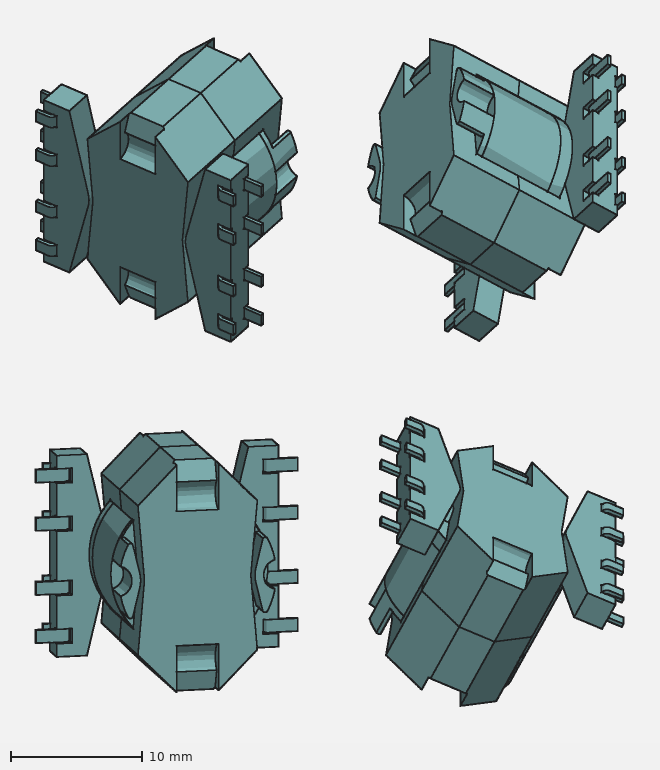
import cadquery as cq
import math


CORE_HALF_HEIGHT = 9.0
CORE_HALF_DEPTH = 6.3
CORE_TOP_HALF_WIDTH = 1.5
CORE_SHOULDER_HALF_WIDTH = 4.67
CORE_WAIST_HALF_WIDTH = 4.16
CORE_SHOULDER_Z = CORE_HALF_HEIGHT - (CORE_SHOULDER_HALF_WIDTH - CORE_TOP_HALF_WIDTH)
CORE_PLATE = 2.28
CAVITY_HALF_DEPTH = CORE_HALF_DEPTH - CORE_PLATE
POST_RADIUS = 2.66

SEAT_WIDTH = 3.28
SEAT_END_DEPTH = 1.25
SEAT_RIDGE_DROP = 1.6
SEAT_RIDGE_DEPTH = 0.64
SEAT_DROP = 3.75
SEAT_LIP = 0.08
SEAT_TROUGH_RADIUS = 1.19

WINDING_RADIUS = 6.15
CAVITY_RADIUS = WINDING_RADIUS + 0.05
TUBE_RADIUS = POST_RADIUS + 0.4
WINDING_FRONT = -2.85
WINDING_BACK = 3.46
FLANGE_FACE = 3.98
BOBBIN_HALF_DEPTH = 6.35

LUG_HALF_HEIGHT = 2.85
LUG_END_RADIUS = 0.25
GROOVE_RADIUS = 1.19
GROOVE_HALF_OPENING = 1.15

BLOCK_OUTER_X = 8.7
BLOCK_END_X = 6.31
BLOCK_TIP_X = 4.4
BLOCK_HALF_HEIGHT = 7.85
BLOCK_TIP_RADIUS = 2.45

RIB_RADIUS = 1.68
RIB_HALF_HEIGHT = 1.3
RIB_OUTER_X = 5.12
RIB_CORE_GAP = 0.02

PIN_HEIGHTS = (-6.25, -2.5, 2.5, 6.25)
PIN_WIDTH = 1.0
PIN_THICKNESS = 0.3
PIN_REAR_TIP_X = 10.25
PIN_FRONT_TIP_X = 9.18
PIN_INNER_X = 7.52
PIN_FRONT = -6.7
PIN_REAR = -4.22
PIN_BEND_RADIUS = 0.53
PIN_SLOT_WIDTH = 1.13
PIN_SLOT_INNER_X = PIN_INNER_X - 0.05
PIN_SLOT_FRONT_DEPTH = 0.2
PIN_SLOT_REAR_DEPTH = 0.6


def y_prism(sketch, y_start, y_end):
    """Extrude an XZ outline from y_start to y_end."""
    return sketch(cq.Workplane("XZ", origin=(0, y_end, 0))).extrude(y_end - y_start)


def y_cylinder(radius, y_start, y_end):
    return y_prism(lambda plane: plane.circle(radius), y_start, y_end)


def box(x_range, y_range, z_range):
    """Box spanning the three given (low, high) ranges, in either order."""
    sizes = [abs(high - low) for low, high in (x_range, y_range, z_range)]
    corner = [min(span) for span in (x_range, y_range, z_range)]
    return cq.Workplane("XY").box(*sizes, centered=False).translate(tuple(corner))


def centered_span(middle, width):
    return (middle - width / 2, middle + width / 2)



def core_outline(plane):
    right = [
        (CORE_TOP_HALF_WIDTH, CORE_HALF_HEIGHT),
        (CORE_SHOULDER_HALF_WIDTH, CORE_SHOULDER_Z),
        (CORE_WAIST_HALF_WIDTH, 0),
        (CORE_SHOULDER_HALF_WIDTH, -CORE_SHOULDER_Z),
        (CORE_TOP_HALF_WIDTH, -CORE_HALF_HEIGHT),
    ]
    left = [(-x, z) for x, z in reversed(right)]
    return plane.polyline(right + left).close()


def clip_seat():
    """Cutter for the clip seat at the top of the front core face."""
    face = -CORE_HALF_DEPTH
    top = CORE_HALF_HEIGHT
    return (
        cq.Workplane("YZ", origin=(-SEAT_WIDTH / 2, 0, 0))
        .moveTo(face, top)
        .lineTo(face + SEAT_END_DEPTH, top)
        .lineTo(face + SEAT_RIDGE_DEPTH, top - SEAT_RIDGE_DROP)
        .radiusArc((face + SEAT_LIP, top - SEAT_DROP), SEAT_TROUGH_RADIUS)
        .lineTo(face, top - SEAT_DROP)
        .close()
        .extrude(SEAT_WIDTH)
    )


def front_core():
    cavity = y_cylinder(CAVITY_RADIUS, -CAVITY_HALF_DEPTH, 0)
    post = y_cylinder(POST_RADIUS, -CAVITY_HALF_DEPTH, 0)
    seat = clip_seat()
    return (
        y_prism(core_outline, -CORE_HALF_DEPTH, 0)
        .cut(cavity.cut(post))
        .cut(seat)
        .cut(seat.mirror("XY"))
    )



def make_winding():
    spool = y_cylinder(TUBE_RADIUS, WINDING_FRONT, WINDING_BACK)
    return y_cylinder(WINDING_RADIUS, WINDING_FRONT, WINDING_BACK).cut(spool)



def block_prism(y_start, y_end):
    """Right-hand block: straight outer side, blunt pointed inner side."""
    outline = [
        (BLOCK_OUTER_X, BLOCK_HALF_HEIGHT),
        (BLOCK_END_X, BLOCK_HALF_HEIGHT),
        (BLOCK_TIP_X, 0),
        (BLOCK_END_X, -BLOCK_HALF_HEIGHT),
        (BLOCK_OUTER_X, -BLOCK_HALF_HEIGHT),
    ]
    prism = y_prism(lambda plane: plane.polyline(outline).close(), y_start, y_end)
    return prism.edges("|Y").edges("<X").fillet(BLOCK_TIP_RADIUS)


def pin_slots(z):
    """Slots around the rear and front legs of one right-hand terminal."""
    x_range = (PIN_SLOT_INNER_X, BLOCK_OUTER_X)
    z_range = centered_span(z, PIN_SLOT_WIDTH)
    front = box(x_range, (-BOBBIN_HALF_DEPTH, -BOBBIN_HALF_DEPTH + PIN_SLOT_FRONT_DEPTH), z_range)
    rear = box(x_range, (-FLANGE_FACE, -FLANGE_FACE - PIN_SLOT_REAR_DEPTH), z_range)
    return front.union(rear)


def terminal(z):
    """One right-hand C-shaped terminal."""
    z_range = centered_span(z, PIN_WIDTH)
    outer = (
        box((PIN_INNER_X, PIN_REAR_TIP_X), (PIN_FRONT, PIN_REAR), z_range)
        .edges("|Z and <X")
        .fillet(PIN_BEND_RADIUS)
    )
    inner = (
        box(
            (PIN_INNER_X + PIN_THICKNESS, PIN_REAR_TIP_X),
            (PIN_FRONT + PIN_THICKNESS, PIN_REAR - PIN_THICKNESS),
            z_range,
        )
        .edges("|Z and <X")
        .fillet(PIN_BEND_RADIUS - PIN_THICKNESS)
    )
    beyond_front_tip = box(
        (PIN_FRONT_TIP_X, PIN_REAR_TIP_X), (PIN_FRONT, PIN_FRONT + PIN_THICKNESS), z_range
    )
    return outer.cut(inner).cut(beyond_front_tip)


def terminal_block():
    """Right-hand terminal block with its terminals."""
    block = block_prism(-BOBBIN_HALF_DEPTH, -FLANGE_FACE)
    for z in PIN_HEIGHTS:
        block = block.cut(pin_slots(z)).union(terminal(z))
    return block


def rear_lug():
    """Right-hand lug: flange rim outside, tapered like the blocks inside, rounded ends."""
    taper = (BLOCK_END_X - BLOCK_TIP_X) / BLOCK_HALF_HEIGHT
    inner_x = BLOCK_TIP_X + taper * LUG_HALF_HEIGHT
    rim_x = math.sqrt(WINDING_RADIUS**2 - LUG_HALF_HEIGHT**2)

    def outline(plane):
        return (
            plane.moveTo(rim_x, -LUG_HALF_HEIGHT)
            .lineTo(WINDING_RADIUS, -LUG_HALF_HEIGHT)
            .lineTo(WINDING_RADIUS, LUG_HALF_HEIGHT)
            .lineTo(rim_x, LUG_HALF_HEIGHT)
            .radiusArc((inner_x, LUG_HALF_HEIGHT), -LUG_END_RADIUS)
            .lineTo(BLOCK_TIP_X, 0)
            .lineTo(inner_x, -LUG_HALF_HEIGHT)
            .radiusArc((rim_x, -LUG_HALF_HEIGHT), -LUG_END_RADIUS)
            .close()
        )

    lug = y_prism(outline, FLANGE_FACE, BOBBIN_HALF_DEPTH)
    lug = lug.edges("|Y").edges("<X").fillet(BLOCK_TIP_RADIUS)
    return lug.intersect(y_cylinder(WINDING_RADIUS, FLANGE_FACE, BOBBIN_HALF_DEPTH))


def rear_groove():
    """Cutter for the round groove along the right-hand lug and rear flange."""
    rim_x = math.sqrt(WINDING_RADIUS**2 - GROOVE_HALF_OPENING**2)
    center_x = rim_x + math.sqrt(GROOVE_RADIUS**2 - GROOVE_HALF_OPENING**2)
    groove = y_cylinder(GROOVE_RADIUS, WINDING_BACK, BOBBIN_HALF_DEPTH)
    return groove.translate((center_x, 0, 0))


def front_rib():
    """Right-hand rib: a slice of an X-direction cylinder standing on the front flange."""
    axis_y = -FLANGE_FACE + math.sqrt(RIB_RADIUS**2 - RIB_HALF_HEIGHT**2)
    waist_slope = (CORE_SHOULDER_HALF_WIDTH - CORE_WAIST_HALF_WIDTH) / CORE_SHOULDER_Z
    waist_x = CORE_WAIST_HALF_WIDTH + RIB_CORE_GAP
    edge_x = waist_x + waist_slope * RIB_HALF_HEIGHT
    outline = [
        (waist_x, 0),
        (edge_x, RIB_HALF_HEIGHT),
        (RIB_OUTER_X, RIB_HALF_HEIGHT),
        (RIB_OUTER_X, -RIB_HALF_HEIGHT),
        (edge_x, -RIB_HALF_HEIGHT),
    ]
    footprint = y_prism(lambda plane: plane.polyline(outline).close(), -BOBBIN_HALF_DEPTH, -FLANGE_FACE)
    cylinder = cq.Workplane("YZ", origin=(0, axis_y, 0)).circle(RIB_RADIUS).extrude(RIB_OUTER_X)
    return cylinder.intersect(footprint)


def make_bobbin():
    body = (
        y_cylinder(TUBE_RADIUS, -FLANGE_FACE, FLANGE_FACE)
        .union(y_cylinder(WINDING_RADIUS, -FLANGE_FACE, WINDING_FRONT))
        .union(y_cylinder(WINDING_RADIUS, WINDING_BACK, FLANGE_FACE))
        .cut(y_cylinder(POST_RADIUS, -FLANGE_FACE, FLANGE_FACE))
    )
    additions = terminal_block().union(front_rib()).union(rear_lug())
    groove = rear_groove()
    body = body.union(additions).union(additions.mirror("YZ"))
    return body.cut(groove).cut(groove.mirror("YZ"))


core_front = front_core()
core_rear = core_front.mirror("XZ")
winding = make_winding()
bobbin = make_bobbin()

result = cq.Compound.makeCompound([core_front.val(), core_rear.val(), winding.val(), bobbin.val()])